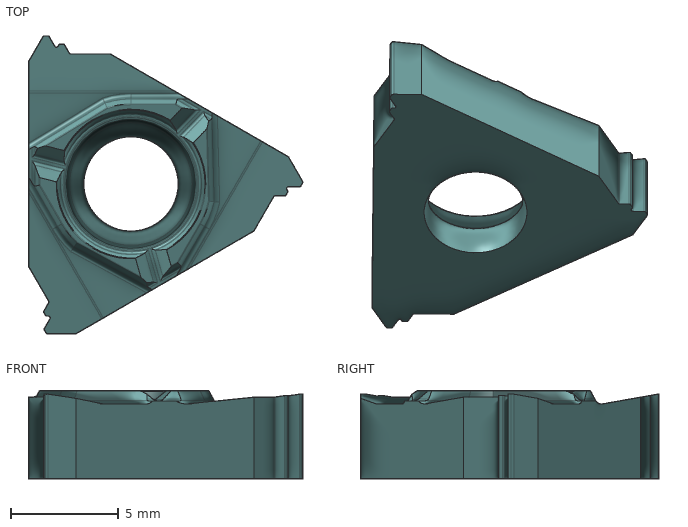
import cadquery as cq
import math

CORNERS = 3
CORNER_STEP = 360 / CORNERS
SELECT_MARGIN = 0.001
edge_azimuth = 180
next_edge_azimuth = edge_azimuth - CORNER_STEP

edge_distance = 4.76
flank_distance = 6.98
flank_angle = 60
crest_y = 6.9
bump_y = 6.5
valley_y = 6.28
root_y = 6.05
crest_width = 0.25
bump_width = 0.24
crest_round = 0.12
tooth_round = 0.08
root_round = 0.07

floor_z = 3.5
pad_top_z = 4.1

ramp_start = 4.27
ramp_angle = 10
ramp_foot_length = 0.04

pad_radius = 4.04
pad_side_distance = 3.93
pad_side_azimuth = 121.5
pad_end_distance = 5.27
pad_facet_top = 4.26
pad_facet_fillet = 0.17
shelf_z = 3.63
pad_draft = 28
pad_foot_fillet = 0.29
pad_edge_round = 0.04

groove_azimuth = 45.9
groove_bottom_width = 0.33
groove_top_width = 1.5
groove_fillet = 0.28

lip_radius = 3.45
lip_foot_radius = 3.25
ledge_z = 3.63
lip_fillet = 0.14
seat_edge_round = 0.03
throat_radius = 2.19
throat_z = 0.87
throat_arc_radius = 2.0
seat_slope = 48
seat_fillet = 0.45
bore_slope = 5


def turned(point, degrees):
    """Turn a plan point counterclockwise about the hole axis."""
    angle = math.radians(degrees)
    x, y = point
    return (
        x * math.cos(angle) - y * math.sin(angle),
        x * math.sin(angle) + y * math.cos(angle),
    )


def turned_solid(solid, degrees):
    """Turn a solid counterclockwise about the hole axis."""
    return solid.rotate((0, 0, 0), (0, 0, 1), degrees)


def crossing(azimuth_a, distance_a, azimuth_b, distance_b):
    """Crossing of two plan lines, each given by its normal azimuth and distance from the axis."""
    a = math.radians(azimuth_a)
    b = math.radians(azimuth_b)
    scale = math.sin(b - a)
    return (
        (distance_a * math.sin(b) - distance_b * math.sin(a)) / scale,
        (distance_b * math.cos(a) - distance_a * math.cos(b)) / scale,
    )


def rounded_outline(plane, corners):
    """Closed wire through (x, y, radius) corners; zero radius keeps a corner sharp."""
    legs = []
    for i, (x, y, radius) in enumerate(corners):
        corner = cq.Vector(x, y)
        before = cq.Vector(*corners[i - 1][:2])
        after = cq.Vector(*corners[(i + 1) % len(corners)][:2])
        to_before = (before - corner).normalized()
        to_after = (after - corner).normalized()
        half_angle = to_before.getAngle(to_after) / 2
        tangent = radius / math.tan(half_angle)
        bisector = (to_before + to_after).normalized()
        middle = corner + bisector * (radius / math.sin(half_angle) - radius)
        legs.append((corner + to_before * tangent, middle, corner + to_after * tangent, radius))
    wire = cq.Workplane(plane).moveTo(legs[0][2].x, legs[0][2].y)
    for start, middle, end, radius in legs[1:] + legs[:1]:
        wire = wire.lineTo(start.x, start.y)
        if radius > 0:
            wire = wire.threePointArc((middle.x, middle.y), (end.x, end.y))
    return wire.close()


def tip_corners():
    """Outline corners of the tip pointing to +Y, clockwise from the left long edge."""
    run = 1 / math.tan(math.radians(flank_angle))
    leading_azimuth = 90 + flank_angle
    crest_start = crossing(leading_azimuth, flank_distance, 90, crest_y)
    crest_end_x = crest_start[0] + crest_width
    valley_x = crest_end_x + (crest_y - valley_y) * run
    bump_start_x = valley_x + (bump_y - valley_y) * run
    bump_end_x = bump_start_x + bump_width
    root_x = bump_end_x + (bump_y - root_y) * run
    return [
        (*crossing(edge_azimuth, edge_distance, leading_azimuth, flank_distance), 0),
        (*crest_start, crest_round),
        (crest_end_x, crest_y, tooth_round),
        (valley_x, valley_y, tooth_round),
        (bump_start_x, bump_y, root_round),
        (bump_end_x, bump_y, tooth_round),
        (root_x, root_y, root_round),
        (*crossing(90, root_y, next_edge_azimuth, edge_distance), 0),
    ]


def insert_prism(height):
    """Full plan outline raised from the bottom face."""
    corners = []
    for i in range(CORNERS):
        for x, y, radius in tip_corners():
            corners.append((*turned((x, y), -i * CORNER_STEP), radius))
    return rounded_outline("XY", corners).extrude(height)


def tip_ramp():
    """Wedge that climbs from the floor to the tip pointing to +Y."""
    slope = math.radians(ramp_angle)
    reach = flank_distance - ramp_start
    foot_radius = ramp_foot_length / math.tan(slope / 2)
    foot_start = ramp_start - ramp_foot_length
    foot_end = ramp_start + ramp_foot_length * math.cos(slope)
    foot_middle = foot_start + foot_radius * math.sin(slope / 2)
    return (
        cq.Workplane("YZ", origin=(-flank_distance, 0, 0))
        .moveTo(foot_start, 0)
        .lineTo(foot_start, floor_z)
        .threePointArc(
            (foot_middle, floor_z + foot_radius * (1 - math.cos(slope / 2))),
            (foot_end, floor_z + ramp_foot_length * math.sin(slope)),
        )
        .lineTo(ramp_start + reach, floor_z + reach * math.tan(slope))
        .lineTo(ramp_start + reach, 0)
        .close()
        .extrude(2 * flank_distance)
    )


def pad_facet():
    """Cutter for the sloping facet and the shelf along the long edge facing +X."""
    far = 2 * flank_distance
    facet_foot = pad_facet_top + (pad_top_z - shelf_z) * math.tan(math.radians(pad_draft))
    profile = rounded_outline("XZ", [
        (pad_facet_top, pad_top_z, 0),
        (facet_foot, shelf_z, pad_facet_fillet),
        (far, shelf_z, 0),
        (far, pad_top_z, 0),
    ])
    return profile.extrude(flank_distance, both=True)


def pad_on_floor():
    """Drafted pad with a filleted foot, standing on a floor wider than the insert."""
    half_chord = math.sqrt(pad_radius**2 - pad_side_distance**2)
    side_turn = pad_side_azimuth - 90
    side_start = crossing(edge_azimuth, pad_end_distance, pad_side_azimuth, pad_side_distance)
    side_end = turned((half_chord, pad_side_distance), side_turn)
    corner_azimuth = math.degrees(math.atan2(side_end[1], side_end[0]))
    corner_middle = turned((pad_radius, 0), (corner_azimuth + 90) / 2)
    wall_end = crossing(90, pad_radius, next_edge_azimuth, pad_end_distance)

    wire = cq.Workplane("XY", origin=(0, 0, floor_z)).moveTo(*side_start)
    for i in range(CORNERS):
        turn = -i * CORNER_STEP
        wire = (
            wire.lineTo(*turned(side_end, turn))
            .threePointArc(turned(corner_middle, turn), turned((0, pad_radius), turn))
            .lineTo(*turned(wall_end, turn))
        )
        if i < CORNERS - 1:
            wire = wire.lineTo(*turned(side_start, turn - CORNER_STEP))
    pad = wire.close().extrude(pad_top_z - floor_z, taper=pad_draft)
    floor = cq.Workplane("XY").circle(2 * flank_distance).extrude(floor_z)
    reach = 1.5 * flank_distance
    foot = cq.selectors.BoxSelector(
        (-reach, -reach, floor_z - SELECT_MARGIN),
        (reach, reach, floor_z + SELECT_MARGIN),
    )
    pad = floor.union(pad).edges(foot).fillet(pad_foot_fillet)
    for i in range(CORNERS):
        pad = pad.cut(turned_solid(pad_facet(), edge_azimuth + i * CORNER_STEP))
    return pad


def pad_groove():
    """V groove cutter along +X from the hole axis, carried on to twice the groove depth."""
    side_run = (groove_top_width - groove_bottom_width) / 2
    depth = pad_top_z - shelf_z
    top_half = groove_top_width / 2 + side_run
    top_z = pad_top_z + depth
    return rounded_outline("YZ", [
        (-groove_bottom_width / 2, shelf_z, groove_fillet),
        (groove_bottom_width / 2, shelf_z, groove_fillet),
        (top_half, top_z, 0),
        (-top_half, top_z, 0),
    ]).extrude(flank_distance)


def screw_hole():
    """Turned cutter: lip recess, tapered bore, fillet, convex seat and flare to the bottom."""
    slope = math.radians(seat_slope)
    arc_centre_r = throat_radius + throat_arc_radius
    seat_r = arc_centre_r - throat_arc_radius * math.cos(slope)
    seat_z = throat_z + throat_arc_radius * math.sin(slope)
    taper = math.radians(bore_slope)
    fillet_centre_r = seat_r - seat_fillet * math.cos(slope)
    fillet_centre_z = seat_z + seat_fillet * math.sin(slope)
    bore_r = fillet_centre_r + seat_fillet * math.cos(taper)
    bore_z = fillet_centre_z - seat_fillet * math.sin(taper)
    bore_top_r = bore_r + (ledge_z - bore_z) * math.tan(taper)
    bottom_r = arc_centre_r - math.sqrt(throat_arc_radius**2 - throat_z**2)
    fillet_middle = (
        fillet_centre_r + seat_fillet * math.cos((slope + taper) / 2),
        fillet_centre_z - seat_fillet * math.sin((slope + taper) / 2),
    )
    lower = (
        cq.Workplane("XZ")
        .moveTo(0, 0)
        .lineTo(bottom_r, 0)
        .threePointArc((throat_radius, throat_z), (seat_r, seat_z))
        .threePointArc(fillet_middle, (bore_r, bore_z))
        .lineTo(0, bore_z)
        .close()
        .revolve(360, (0, 0, 0), (0, 1, 0))
    )
    upper = rounded_outline("XZ", [
        (0, bore_z, 0),
        (bore_r, bore_z, 0),
        (bore_top_r, ledge_z, seat_edge_round),
        (lip_foot_radius, ledge_z, lip_fillet),
        (lip_radius, pad_top_z, 0),
        (0, pad_top_z, 0),
    ]).revolve(360, (0, 0, 0), (0, 1, 0))
    return lower.union(upper)


top_side = pad_on_floor().cut(screw_hole())
top_side = top_side.faces(">Z").edges().fillet(pad_edge_round)
for i in range(CORNERS):
    top_side = top_side.cut(turned_solid(pad_groove(), groove_azimuth + i * CORNER_STEP))
for i in range(CORNERS):
    top_side = top_side.union(turned_solid(tip_ramp(), i * CORNER_STEP))

result = top_side.intersect(insert_prism(pad_top_z))